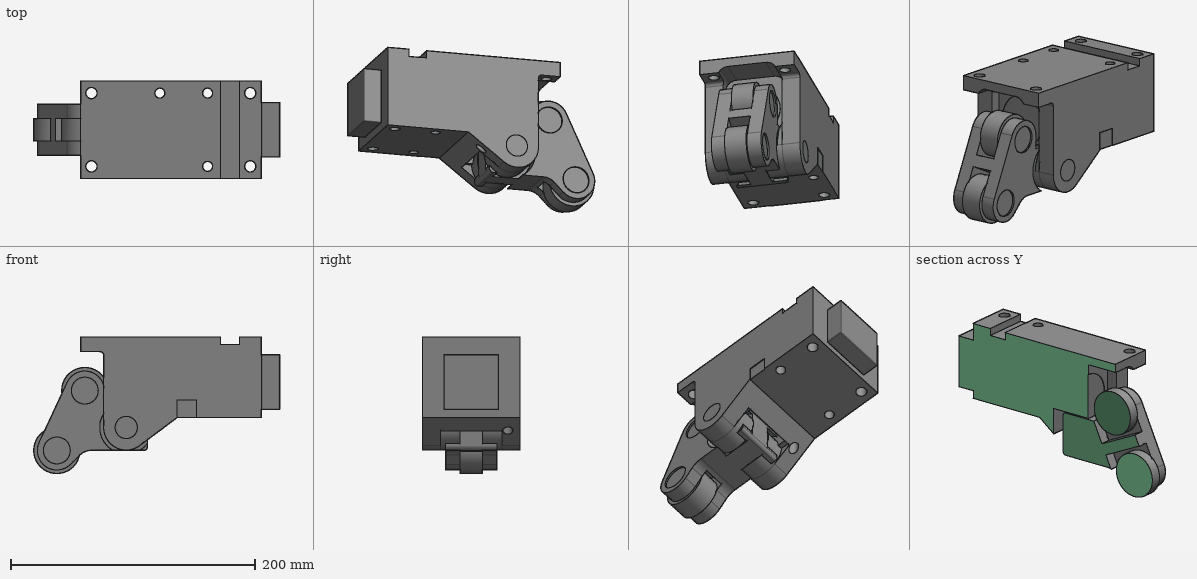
import cadquery as cq
import math


width = 80.0
mount_length = 148.0
plate_front = -37.3
body_rear = plate_front + mount_length
top_z = 74.2
plate_thickness = 12.2
body_bottom = 8.0
cheek_radius = 18.5
plate_corner_fillet = 3.0
slope_end_x = 41.6

key_slot_x = 77.3
key_slot_width = 15.2
key_slot_depth = 6.2

cavity_width = 50.0
cavity_roof = top_z - 7.5
cavity_corner = 9.0
cavity_rear = -9.5

clearance_rear = 27.0
clearance_roof = 19.4

seat_z = 37.2
seat_radius = 21.0
seat_depth = 0.5

rear_block_side = 45.0
rear_block_length = 15.0
rear_block_fillet = 0.5

side_notch_width = 15.8
side_notch_top = 22.5
side_notch_depth = 0.5

hole_row_y = 30.0
large_hole = 9.0
small_hole = 8.0
large_hole_xs = (-28.5, 101.5)
paired_small_hole_x = 66.6
single_small_hole_x = 27.5

flare_at_cheek = 23.7
flare_at_lever = 10.3

lever_width = 42.0
recess_radius = 21.7
recess_depth = 11.75
lever_end_radius = 16.0
hub_half_height = 18.8
tail_x = 17.4
tail_corner = 3.0
lever_neck_radius = 13.4
pivot_pin_radius = 9.1

upper_roller = (-33.9, 30.2)
lower_roller = (-56.8, -18.8)
roller_radius = 19.0
roller_width = 18.2
axle_radius = 11.0
axle_recess = 1.5
pocket_reach = 22.0

boss_inner_y = lever_width / 2 - recess_depth
cavity_half = cavity_width / 2
roller_dx = upper_roller[0] - lower_roller[0]
roller_dz = upper_roller[1] - lower_roller[1]
roller_spacing = math.hypot(roller_dx, roller_dz)
along = (roller_dx / roller_spacing, roller_dz / roller_spacing)


def cylinder_y(x, z, radius, y_min, y_max):
    """Cylinder parallel to Y between two Y positions."""
    base = cq.Workplane("XZ", origin=(0, y_max, 0)).center(x, z)
    return base.circle(radius).extrude(y_max - y_min)


def box_between(x_min, x_max, y_min, y_max, z_min, z_max):
    """Box given by its limits."""
    size = (x_max - x_min, y_max - y_min, z_max - z_min)
    return cq.Workplane("XY").box(*size, centered=False).translate((x_min, y_min, z_min))


def housing_profile():
    """Side outline: mounting plate, body, sloped underside and round cheek nose."""
    distance = math.hypot(slope_end_x, body_bottom)
    tangent_angle = math.atan2(body_bottom, slope_end_x) - math.acos(cheek_radius / distance)
    middle_angle = (tangent_angle - math.pi) / 2

    def on_nose(angle):
        return (cheek_radius * math.cos(angle), cheek_radius * math.sin(angle))

    return (
        cq.Workplane("XZ", origin=(0, width / 2, 0))
        .moveTo(plate_front, top_z)
        .lineTo(body_rear, top_z)
        .lineTo(body_rear, body_bottom)
        .lineTo(slope_end_x, body_bottom)
        .lineTo(*on_nose(tangent_angle))
        .threePointArc(on_nose(middle_angle), (-cheek_radius, 0))
        .lineTo(-cheek_radius, top_z - plate_thickness - plate_corner_fillet)
        .radiusArc(
            (-cheek_radius - plate_corner_fillet, top_z - plate_thickness), -plate_corner_fillet
        )
        .lineTo(plate_front, top_z - plate_thickness)
        .close()
    )


def flared_boss():
    """Round boss inside the -Y cheek; its upper flare is tangent to the cheek's front face."""
    flare_depth = cavity_half - lever_width / 2
    flare = (
        cq.Workplane("XZ", origin=(0, -cavity_half, 0))
        .center(flare_at_cheek, 0)
        .circle(cheek_radius + flare_at_cheek)
        .workplane(offset=-flare_depth)
        .center(flare_at_lever - flare_at_cheek, 0)
        .circle(cheek_radius + flare_at_lever)
        .loft()
    )
    upper_half = box_between(-cheek_radius, clearance_rear, -cavity_half, 0, 0, cavity_roof)
    boss = cylinder_y(0, 0, cheek_radius, -cavity_half, -boss_inner_y)
    return boss.union(flare.intersect(upper_half))


def make_housing():
    cavity = box_between(
        plate_front, cavity_rear, -cavity_half, cavity_half, -cheek_radius, cavity_roof
    )
    body = housing_profile().extrude(width)
    body = body.cut(cavity.edges("|X and >Z").fillet(cavity_corner))
    body = body.cut(
        box_between(
            plate_front, clearance_rear, -cavity_half, cavity_half, -cheek_radius, clearance_roof
        )
    )
    seat = cq.Workplane("YZ", origin=(cavity_rear, 0, seat_z)).circle(seat_radius)
    body = body.cut(seat.extrude(seat_depth))

    boss = flared_boss()
    for side_boss in (boss, boss.mirror("XZ")):
        body = body.union(side_boss)
    body = body.cut(cylinder_y(0, 0, pivot_pin_radius, -width / 2, width / 2))

    block = cq.Workplane("XY").box(rear_block_length, rear_block_side, rear_block_side)
    block = block.edges().fillet(rear_block_fillet)
    body = body.union(block.translate((body_rear + rear_block_length / 2, 0, seat_z)))

    body = body.cut(
        box_between(
            key_slot_x, key_slot_x + key_slot_width, -width / 2, width / 2, top_z - key_slot_depth, top_z
        )
    )
    body = body.cut(
        box_between(
            slope_end_x, slope_end_x + side_notch_width,
            -width / 2, -width / 2 + side_notch_depth,
            body_bottom, side_notch_top,
        )
    )

    large_points = [(x, y) for x in large_hole_xs for y in (-hole_row_y, hole_row_y)]
    small_points = [
        (paired_small_hole_x, -hole_row_y),
        (paired_small_hole_x, hole_row_y),
        (single_small_hole_x, hole_row_y),
    ]
    for points, diameter in ((large_points, large_hole), (small_points, small_hole)):
        drill = cq.Workplane("XY", origin=(0, 0, top_z)).pushPoints(points).circle(diameter / 2)
        body = body.cut(drill.extrude(-2 * top_z))
    return body


def lever_profile():
    """Side outline: two roller ends, straight front, neck and the block around the pivot."""
    upper_x, upper_z = upper_roller
    lower_x, lower_z = lower_roller
    radius = lever_end_radius
    diagonal = math.sqrt(0.5)
    front = (-along[1], along[0])
    neck_start_z = -hub_half_height - lever_neck_radius * (1 - diagonal)
    lower_tangent = (lower_x + radius * diagonal, lower_z - radius * diagonal)
    neck_start_x = lower_tangent[0] + neck_start_z - lower_tangent[1]
    neck_end_x = neck_start_x + lever_neck_radius * diagonal
    return (
        cq.Workplane("XZ", origin=(0, lever_width / 2, 0))
        .moveTo(upper_x + radius, upper_z)
        .threePointArc(
            (upper_x, upper_z + radius),
            (upper_x + radius * front[0], upper_z + radius * front[1]),
        )
        .lineTo(lower_x + radius * front[0], lower_z + radius * front[1])
        .threePointArc((lower_x, lower_z - radius), lower_tangent)
        .lineTo(neck_start_x, neck_start_z)
        .radiusArc((neck_end_x, -hub_half_height), lever_neck_radius)
        .lineTo(tail_x, -hub_half_height)
        .lineTo(tail_x, hub_half_height)
        .lineTo(upper_x + radius, hub_half_height)
        .close()
    )


def roller_pocket(center):
    """Slot around one roller, square to the straight front and open at the lever's end."""
    plane = cq.Plane(
        origin=(center[0], roller_width / 2, center[1]),
        xDir=(along[0], 0, along[1]),
        normal=(0, -1, 0),
    )
    return (
        cq.Workplane(plane)
        .rect(2 * pocket_reach, 2 * pocket_reach)
        .extrude(roller_width)
    )


def make_lever():
    half = lever_width / 2
    lever = lever_profile().extrude(lever_width)
    lever = lever.edges("|Y and >X").fillet(tail_corner)
    for side in (-1, 1):
        y_min, y_max = sorted((side * boss_inner_y, side * half))
        lever = lever.cut(cylinder_y(0, 0, recess_radius, y_min, y_max))
    for center in (upper_roller, lower_roller):
        lever = lever.cut(roller_pocket(center))
        lever = lever.cut(cylinder_y(*center, axle_radius, -half, half))
    return lever.union(cylinder_y(0, 0, pivot_pin_radius, -width / 2, width / 2))


def make_roller(center):
    """Roller with its axle in one piece; the axle ends sit just below the lever's sides."""
    roller = cylinder_y(*center, roller_radius, -roller_width / 2, roller_width / 2)
    axle_half = lever_width / 2 - axle_recess
    return roller.union(cylinder_y(*center, axle_radius, -axle_half, axle_half))


housing = make_housing()
lever = make_lever()
rollers = [make_roller(center) for center in (upper_roller, lower_roller)]

result = cq.Compound.makeCompound([housing.val(), lever.val(), *[roller.val() for roller in rollers]])